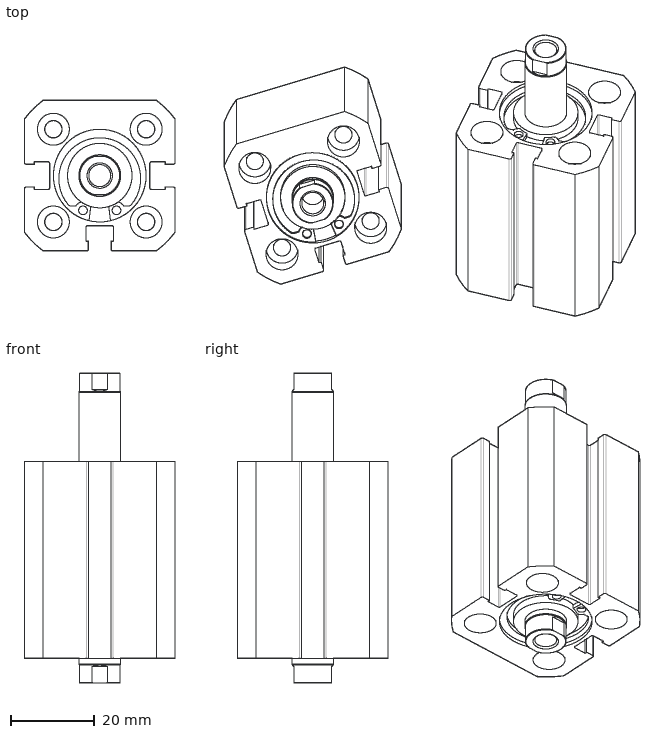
import cadquery as cq
import math


HOUSING_WIDTH = 36.0
HOUSING_HEIGHT = 47.0
CORNER_RADIUS = 22.5
MID_HEIGHT = HOUSING_HEIGHT / 2
HALF_WIDTH = HOUSING_WIDTH / 2

MOUNT_SPACING = 22.1
MOUNT_HOLE_DIAMETER = 4.1
COUNTERBORE_DIAMETER = 7.6
COUNTERBORE_DEPTH = 7.0

SLOT_DEPTH = 6.0
SLOT_MOUTH_WIDTH = 5.4
SLOT_MOUTH_DEPTH = 2.4
SLOT_INNER_WIDTH = 6.5
SLOT_FLOOR_FILLET = 0.3
SLOT_MOUTH_FILLET = 0.45
SLOT_ANGLES = (90, 180, 270)

ROD_DIAMETER = 10.0
ROD_TOP_LENGTH = 21.1
ROD_BOTTOM_LENGTH = 5.9
ROD_TOP = HOUSING_HEIGHT + ROD_TOP_LENGTH
ROD_BOTTOM = -ROD_BOTTOM_LENGTH
ROD_MIDDLE = (ROD_TOP + ROD_BOTTOM) / 2
NECK_DIAMETER = 9.8
NECK_LENGTH = 4.4
NECK_CHAMFER = 0.2
END_CHAMFER = 0.15
FLAT_WIDTH = 9.0
FLAT_LENGTH = 3.9
THREAD_HOLE_DIAMETER = 5.25
THREAD_HOLE_DEPTH = 10.0
THREAD_MOUTH_DIAMETER = 6.1
DRILL_POINT_ANGLE = 118

RECESS_DIAMETER = 22.1
RECESS_DEPTH = 10.0
COVER_SHOULDER_DEPTH = 2.0
BOSS_DIAMETER = 15.4
RING_THICKNESS = 1.0
RING_INNER_DIAMETER = 19.5
RING_INNER_OFFSET = -0.75
LUG_HOLE_DIAMETER = 2.1
LUG_RADIUS = 2.0
LUG_X = 4.0
LUG_Y = -8.3
RING_END_Y = -7.25
RING_END_FILLET = 1.0
GAP_INNER_HALF = 2.15
GAP_OUTER_HALF = 2.6


def cylinder(diameter, bottom, top):
    return cq.Workplane("XY").workplane(offset=bottom).circle(diameter / 2).extrude(top - bottom)


def at_bottom(body, middle):
    """Mirror a body about the horizontal plane at height `middle`."""
    return body.mirror("XY", (0, 0, middle))


def slot_cutter():
    """T-slot through the +Y side, with rounded floor corners and rounded mouth edges."""
    inner_height = SLOT_DEPTH - SLOT_MOUTH_DEPTH
    inner = (
        cq.Workplane("XY")
        .center(0, HALF_WIDTH - SLOT_MOUTH_DEPTH - inner_height / 2)
        .rect(SLOT_INNER_WIDTH, inner_height)
        .extrude(HOUSING_HEIGHT)
        .edges("|Z and <Y")
        .fillet(SLOT_FLOOR_FILLET)
    )
    mouth_half = SLOT_MOUTH_WIDTH / 2
    flare_half = mouth_half + SLOT_MOUTH_FILLET
    mouth_bottom = HALF_WIDTH - SLOT_MOUTH_DEPTH
    flare_start = HALF_WIDTH - SLOT_MOUTH_FILLET
    mouth = (
        cq.Workplane("XY")
        .moveTo(-mouth_half, mouth_bottom)
        .lineTo(mouth_half, mouth_bottom)
        .lineTo(mouth_half, flare_start)
        .radiusArc((flare_half, HALF_WIDTH), SLOT_MOUTH_FILLET)
        .lineTo(-flare_half, HALF_WIDTH)
        .radiusArc((-mouth_half, flare_start), SLOT_MOUTH_FILLET)
        .close()
        .extrude(HOUSING_HEIGHT)
    )
    return inner.union(mouth)


def mount_points(bottom):
    return (
        cq.Workplane("XY")
        .workplane(offset=bottom)
        .rect(MOUNT_SPACING, MOUNT_SPACING, forConstruction=True)
        .vertices()
    )


def make_housing():
    body = cq.Workplane("XY").rect(HOUSING_WIDTH, HOUSING_WIDTH).extrude(HOUSING_HEIGHT)
    body = body.intersect(cylinder(2 * CORNER_RADIUS, 0, HOUSING_HEIGHT))

    slot = slot_cutter()
    for angle in SLOT_ANGLES:
        body = body.cut(slot.rotate((0, 0, 0), (0, 0, 1), angle))

    body = body.cut(mount_points(0).circle(MOUNT_HOLE_DIAMETER / 2).extrude(HOUSING_HEIGHT))
    body = body.cut(cylinder(ROD_DIAMETER, 0, HOUSING_HEIGHT))

    counterbores = (
        mount_points(HOUSING_HEIGHT - COUNTERBORE_DEPTH)
        .circle(COUNTERBORE_DIAMETER / 2)
        .extrude(COUNTERBORE_DEPTH)
    )
    recess = cylinder(RECESS_DIAMETER, HOUSING_HEIGHT - RECESS_DEPTH, HOUSING_HEIGHT)
    for cutter in (counterbores, recess):
        body = body.cut(cutter).cut(at_bottom(cutter, MID_HEIGHT))
    return body


def wrench_flat_cutter():
    """Cutter for the flat on the +Y side of the top neck; its lower end runs out at 45 degrees."""
    flat = FLAT_WIDTH / 2
    run_out = ROD_DIAMETER / 2 - flat
    flat_bottom = ROD_TOP - FLAT_LENGTH
    return (
        cq.Workplane("YZ")
        .polyline([
            (flat, ROD_TOP),
            (flat, flat_bottom),
            (flat + run_out, flat_bottom - run_out),
            (flat + run_out, ROD_TOP),
        ])
        .close()
        .extrude(ROD_DIAMETER / 2, both=True)
    )


def thread_hole_cutter():
    """Blind hole in the top end with a 45-degree mouth and a drill point."""
    hole_radius = THREAD_HOLE_DIAMETER / 2
    mouth_radius = THREAD_MOUTH_DIAMETER / 2
    hole_bottom = ROD_TOP - THREAD_HOLE_DEPTH
    point_depth = hole_radius / math.tan(math.radians(DRILL_POINT_ANGLE / 2))
    return (
        cq.Workplane("XZ")
        .polyline([
            (0, ROD_TOP),
            (mouth_radius, ROD_TOP),
            (hole_radius, ROD_TOP - (mouth_radius - hole_radius)),
            (hole_radius, hole_bottom),
            (0, hole_bottom - point_depth),
        ])
        .close()
        .revolve(360, (0, 0, 0), (0, 1, 0))
    )


def make_rod():
    rod_radius = ROD_DIAMETER / 2
    neck_radius = NECK_DIAMETER / 2
    body = (
        cylinder(ROD_DIAMETER, ROD_BOTTOM + NECK_LENGTH, ROD_TOP - NECK_LENGTH)
        .faces("<Z or >Z")
        .chamfer(NECK_CHAMFER, rod_radius - neck_radius)
        .union(cylinder(NECK_DIAMETER, ROD_BOTTOM, ROD_TOP))
        .faces("<Z or >Z")
        .chamfer(END_CHAMFER)
    )
    flat = wrench_flat_cutter()
    for cutter in (flat, flat.mirror("XZ"), thread_hole_cutter()):
        body = body.cut(cutter).cut(at_bottom(cutter, ROD_MIDDLE))
    return body


def make_cover():
    """Top rod cover: a plug in the recess with a central boss, flush with the housing."""
    shoulder = HOUSING_HEIGHT - COVER_SHOULDER_DEPTH
    plug = cylinder(RECESS_DIAMETER, HOUSING_HEIGHT - RECESS_DEPTH, shoulder)
    boss = cylinder(BOSS_DIAMETER, shoulder, HOUSING_HEIGHT)
    return plug.union(boss).cut(cylinder(ROD_DIAMETER, 0, HOUSING_HEIGHT))


def make_snap_ring():
    """Top snap ring: eccentric bow, open at -Y, with two pierced lugs that clear the boss."""
    seat = HOUSING_HEIGHT - COVER_SHOULDER_DEPTH
    top = seat + RING_THICKNESS
    outer = cylinder(RECESS_DIAMETER, seat, top)
    above_ends = (
        cq.Workplane("XY")
        .workplane(offset=seat)
        .moveTo(0, RING_END_Y + RECESS_DIAMETER / 2)
        .rect(RECESS_DIAMETER, RECESS_DIAMETER)
        .extrude(RING_THICKNESS)
    )
    opening = (
        cylinder(RING_INNER_DIAMETER, seat, top)
        .translate((0, RING_INNER_OFFSET, 0))
        .intersect(above_ends)
        .edges("|Z and <Y")
        .fillet(RING_END_FILLET)
    )
    body = outer.cut(opening)
    for side in (-1, 1):
        lug_center = (side * LUG_X, LUG_Y, 0)
        lug = cylinder(2 * LUG_RADIUS, seat, top).translate(lug_center)
        lug_hole = cylinder(LUG_HOLE_DIAMETER, seat, top).translate(lug_center)
        body = body.union(lug.intersect(outer)).cut(lug_hole)

    gap_end = -RECESS_DIAMETER / 2
    gap = (
        cq.Workplane("XY")
        .workplane(offset=seat)
        .polyline([
            (-GAP_INNER_HALF, RING_END_Y),
            (GAP_INNER_HALF, RING_END_Y),
            (GAP_OUTER_HALF, gap_end),
            (-GAP_OUTER_HALF, gap_end),
        ])
        .close()
        .extrude(RING_THICKNESS)
    )
    return body.cut(gap).cut(cylinder(BOSS_DIAMETER, seat, top))


housing = make_housing()
rod = make_rod()
top_cover = make_cover()
bottom_cover = at_bottom(top_cover, MID_HEIGHT)
top_ring = make_snap_ring()
bottom_ring = at_bottom(top_ring, MID_HEIGHT)

result = cq.Compound.makeCompound([
    housing.val(),
    rod.val(),
    top_cover.val(),
    bottom_cover.val(),
    top_ring.val(),
    bottom_ring.val(),
])